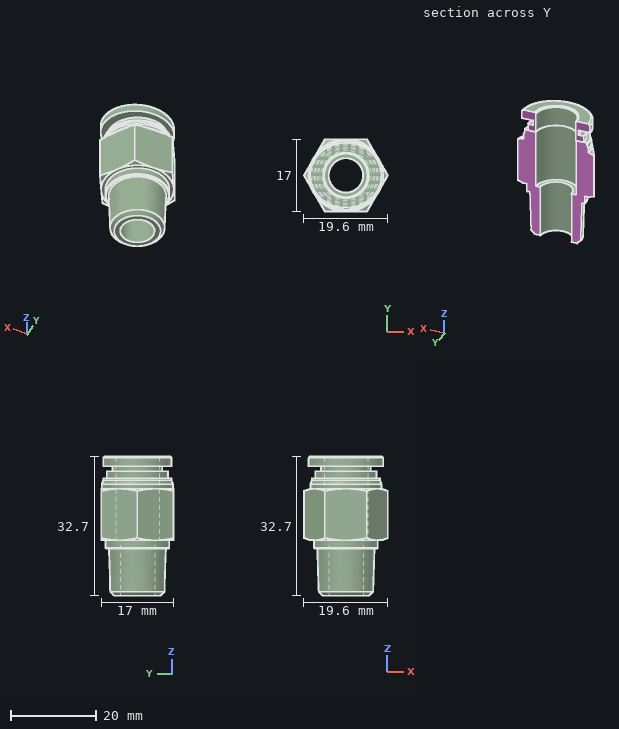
import cadquery as cq
import math

thread_top = 11.02
collar_top = 13.0
hex_top = 25.0
shoulder_top = 26.1
cone_top = 27.0
housing_top = 27.53
guide_top = 29.17
button_bottom = 30.28
button_top = 32.7

hex_across_flats = 17.0
hex_corner_drop = 0.5
thread_end_diameter = 12.82
thread_taper = 1 / 16
thread_end_chamfer = 0.98
collar_diameter = 15.0
collar_chamfer = 0.2
shoulder_diameter = 16.7
rim_diameter = 16.05

tube_socket_diameter = 10.2
tube_stop = collar_top
flow_bore_diameter = 8.0

sleeve_bore_diameter = 10.15
sleeve_mouth_chamfer = 0.3
guide_diameter = 14.4
neck_diameter = 11.7
button_length = 17.53
button_width = 16.05
button_chamfer = 0.43


def disc(diameter, bottom, top):
    """Cylinder on the Z axis between two levels."""
    return cq.Workplane("XY").workplane(offset=bottom).circle(diameter / 2).extrude(top - bottom)


def revolve_profile(points):
    """Solid of revolution about Z from (radius, level) points."""
    return cq.Workplane("XZ").polyline(points).close().revolve(360, (0, 0, 0), (0, 1, 0))


def make_hex():
    """Hexagon whose corners are turned off by a shallow cone at both ends."""
    flat_radius = hex_across_flats / 2
    corner_radius = flat_radius / math.cos(math.pi / 6)
    prism = (
        cq.Workplane("XY")
        .workplane(offset=collar_top)
        .polygon(6, 2 * corner_radius)
        .extrude(hex_top - collar_top)
    )
    turned_blank = revolve_profile([
        (0, collar_top),
        (flat_radius, collar_top),
        (corner_radius, collar_top + hex_corner_drop),
        (corner_radius, hex_top - hex_corner_drop),
        (flat_radius, hex_top),
        (0, hex_top),
    ])
    return prism.intersect(turned_blank)


def make_thread_stem():
    """Tapered thread envelope with a chamfered end, below the round collar."""
    end_radius = thread_end_diameter / 2
    root_radius = end_radius + (thread_top - thread_end_chamfer) * thread_taper / 2
    collar_radius = collar_diameter / 2
    return revolve_profile([
        (0, 0),
        (end_radius - thread_end_chamfer, 0),
        (end_radius, thread_end_chamfer),
        (root_radius, thread_top),
        (collar_radius - collar_chamfer, thread_top),
        (collar_radius, thread_top + collar_chamfer),
        (collar_radius, collar_top),
        (0, collar_top),
    ])


def make_head():
    """Round head above the hexagon, coned in to a narrower rim."""
    return revolve_profile([
        (0, hex_top),
        (shoulder_diameter / 2, hex_top),
        (shoulder_diameter / 2, shoulder_top),
        (rim_diameter / 2, cone_top),
        (rim_diameter / 2, housing_top),
        (0, housing_top),
    ])


def make_housing():
    """Hexagonal body with its threaded stem, tube socket and flow bore."""
    blank = make_thread_stem().union(make_hex()).union(make_head())
    tube_socket = disc(tube_socket_diameter, tube_stop, housing_top)
    flow_bore = disc(flow_bore_diameter, 0, tube_stop)
    return blank.cut(tube_socket).cut(flow_bore)


def make_release_sleeve():
    """Guide ring, neck and oval push button, resting on the housing rim."""
    guide = disc(guide_diameter, housing_top, guide_top)
    neck = disc(neck_diameter, guide_top, button_bottom)
    button = (
        cq.Workplane("XY")
        .workplane(offset=button_bottom)
        .ellipse(button_length / 2, button_width / 2)
        .extrude(button_top - button_bottom)
        .faces(">Z")
        .chamfer(button_chamfer)
    )
    bore = disc(sleeve_bore_diameter, housing_top, button_top)
    sleeve = guide.union(neck).union(button).cut(bore)
    mouth_edge = cq.selectors.RadiusNthSelector(0)
    return sleeve.faces(">Z").edges("%CIRCLE").edges(mouth_edge).chamfer(sleeve_mouth_chamfer)


housing = make_housing()
release_sleeve = make_release_sleeve()

result = cq.Compound.makeCompound([housing.val(), release_sleeve.val()])